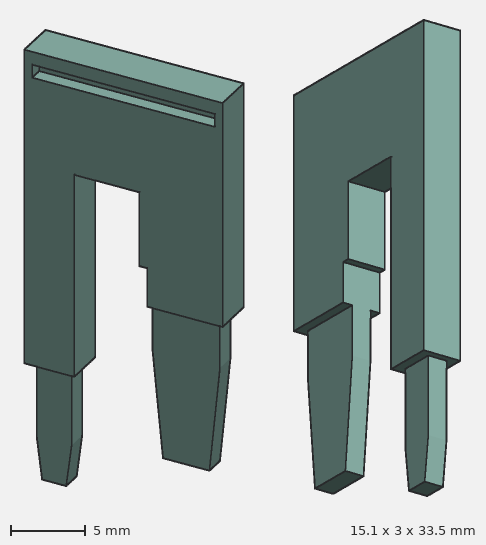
import cadquery as cq

width = 15.1
thickness = 3.0
height = 33.45
left_leg_width = 3.8
left_leg_bottom = 9.13
right_leg_bottom = 16.1
notch_right = 8.75
notch_top = 24.78
step_width = 0.6
step_bottom = 19.05

blade_thickness = 1.5
short_blade_left = 0.55
short_blade_width = 2.68
short_blade_tip_width = 1.85
short_blade_shoulder = 3.28
wide_blade_left = notch_right + step_width
wide_blade_width = 5.15
wide_blade_tip_width = 3.55
wide_blade_shoulder = 12.37
wide_blade_bottom = 4.18

groove_margin = 0.6
groove_height = 1.0
groove_top_gap = 1.0
groove_top = height - groove_top_gap
groove_depth = 1.0
groove_roof_drop = 0.25


def make_housing():
    right_leg_left = notch_right + step_width
    outline = [
        (0, height),
        (width, height),
        (width, right_leg_bottom),
        (right_leg_left, right_leg_bottom),
        (right_leg_left, step_bottom),
        (notch_right, step_bottom),
        (notch_right, notch_top),
        (left_leg_width, notch_top),
        (left_leg_width, left_leg_bottom),
        (0, left_leg_bottom),
    ]
    return cq.Workplane("XZ").polyline(outline).close().extrude(thickness / 2, both=True)


def make_blade(left, blade_width, tip_width, top, shoulder, bottom):
    """Straight blade that tapers evenly from its shoulder to a flat tip."""
    right = left + blade_width
    inset = (blade_width - tip_width) / 2
    outline = [
        (left, top),
        (right, top),
        (right, shoulder),
        (right - inset, bottom),
        (left + inset, bottom),
        (left, shoulder),
    ]
    return cq.Workplane("XZ").polyline(outline).close().extrude(blade_thickness / 2, both=True)


def make_groove():
    front = -thickness / 2
    back = front + groove_depth
    floor = groove_top - groove_height
    profile = [
        (front, floor),
        (back, floor),
        (back, groove_top - groove_roof_drop),
        (front, groove_top),
    ]
    length = width - 2 * groove_margin
    return cq.Workplane("YZ", origin=(groove_margin, 0, 0)).polyline(profile).close().extrude(length)


short_blade = make_blade(
    short_blade_left,
    short_blade_width,
    short_blade_tip_width,
    left_leg_bottom,
    short_blade_shoulder,
    0,
)
wide_blade = make_blade(
    wide_blade_left,
    wide_blade_width,
    wide_blade_tip_width,
    right_leg_bottom,
    wide_blade_shoulder,
    wide_blade_bottom,
)
result = make_housing().union(short_blade).union(wide_blade).cut(make_groove())